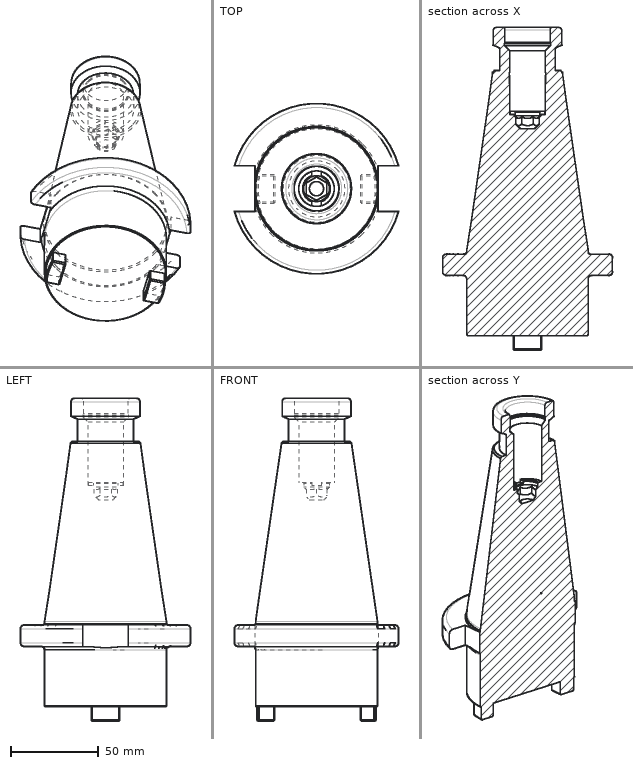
import cadquery as cq
import math

total_height = 184.8
body_bottom_z = 8.1
flange_bottom_z = 42.7
flange_top_z = 55.0
taper_bottom_z = 57.3
taper_top_z = 160.0
head_bottom_z = 172.8

body_radius = 35.0
body_chamfer = 0.5
flange_radius = 48.8
flange_fillet = 2.2
flange_root_fillet = 1.8
flange_top_root_fillet = 0.7
taper_ratio = 7 / 24
taper_top_chamfer = 1.0
neck_radius = 16.0
head_radius = 19.8
head_fillet = 2.0
head_underside_height = 1.7

slot_width = 26.0
slot_floor_x = 35.3

mouth_fillet = 1.5
bore_radius = 12.8
relief_radius = 13.1
relief_top_z = 176.1
relief_chamfer_height = 1.0
relief_bottom_z = 174.3
thread_radius = 10.2
thread_floor_z = 136.8

plug_hole_radius = 7.4
plug_hole_depth = 2.5
plug_rim_chamfer = 0.5
socket_width = 11.6
socket_depth = 7.4
socket_floor_radius = 4.0
driver_slot_width = 5.2
driver_slot_depth = 1.8

key_outer_radius = 34.2
key_width = 16.5
left_key_inner_x = 24.0
right_key_inner_x = 25.1
key_side_chamfer = 0.5
key_bottom_chamfer = 0.7


def outer_body():
    """Body, flange, 7/24 taper, neck and head as one turned profile."""
    taper_length = taper_top_z - taper_top_chamfer - taper_bottom_z
    taper_top_radius = body_radius - taper_length * taper_ratio / 2
    profile = (
        cq.Workplane("XZ")
        .moveTo(0, body_bottom_z)
        .lineTo(body_radius - body_chamfer, body_bottom_z)
        .lineTo(body_radius, body_bottom_z + body_chamfer)
        .lineTo(body_radius, flange_bottom_z - flange_root_fillet)
        .radiusArc((body_radius + flange_root_fillet, flange_bottom_z), flange_root_fillet)
        .lineTo(flange_radius - flange_fillet, flange_bottom_z)
        .radiusArc((flange_radius, flange_bottom_z + flange_fillet), -flange_fillet)
        .lineTo(flange_radius, flange_top_z - flange_fillet)
        .radiusArc((flange_radius - flange_fillet, flange_top_z), -flange_fillet)
        .lineTo(body_radius + flange_top_root_fillet, flange_top_z)
        .radiusArc((body_radius, flange_top_z + flange_top_root_fillet), flange_top_root_fillet)
        .lineTo(body_radius, taper_bottom_z)
        .lineTo(taper_top_radius, taper_top_z - taper_top_chamfer)
        .lineTo(taper_top_radius - taper_top_chamfer, taper_top_z)
        .lineTo(neck_radius, taper_top_z)
        .lineTo(neck_radius, head_bottom_z)
        .lineTo(head_radius, head_bottom_z + head_underside_height)
        .lineTo(head_radius, total_height - head_fillet)
        .radiusArc((head_radius - head_fillet, total_height), -head_fillet)
        .lineTo(0, total_height)
        .close()
    )
    return profile.revolve(360, (0, 0), (0, 1))


def drive_slots():
    """Opposite flat-bottomed notches that also trim the fillets at the flange root."""
    slot_length = flange_radius - slot_floor_x
    slot_bottom_z = flange_bottom_z - flange_root_fillet
    slot_height = flange_top_z + flange_top_root_fillet - slot_bottom_z
    slot = cq.Workplane("XY").box(slot_length, slot_width, slot_height, centered=(False, True, False))
    right_slot = slot.translate((slot_floor_x, 0, slot_bottom_z))
    return right_slot.union(right_slot.rotate((0, 0, 0), (0, 0, 1), 180))


def bore():
    """Rounded mouth, relief groove and a 45 degree cone leading into the threaded hole."""
    thread_top_z = relief_bottom_z - (relief_radius - thread_radius)
    hole = (
        cq.Workplane("XZ")
        .moveTo(0, total_height)
        .lineTo(bore_radius + mouth_fillet, total_height)
        .radiusArc((bore_radius, total_height - mouth_fillet), -mouth_fillet)
        .lineTo(bore_radius, relief_top_z)
        .lineTo(relief_radius, relief_top_z - relief_chamfer_height)
        .lineTo(relief_radius, relief_bottom_z)
        .lineTo(thread_radius, thread_top_z)
        .lineTo(thread_radius, thread_floor_z)
        .lineTo(0, thread_floor_z)
        .close()
    )
    return hole.revolve(360, (0, 0), (0, 1))


def plug_socket():
    """Round mouth over a hexagon socket with flats facing X; both end in 45 degree cones."""
    hex_corner_radius = socket_width / math.sqrt(3)
    cone_floor_z = thread_floor_z - socket_depth - (hex_corner_radius - socket_floor_radius)
    mouth_cone_bottom_z = thread_floor_z - plug_hole_depth - (plug_hole_radius - socket_width / 2)
    mouth = (
        cq.Workplane("XZ")
        .moveTo(0, thread_floor_z)
        .lineTo(plug_hole_radius + plug_rim_chamfer, thread_floor_z)
        .lineTo(plug_hole_radius, thread_floor_z - plug_rim_chamfer)
        .lineTo(plug_hole_radius, thread_floor_z - plug_hole_depth)
        .lineTo(socket_width / 2, mouth_cone_bottom_z)
        .lineTo(0, mouth_cone_bottom_z)
        .close()
        .revolve(360, (0, 0), (0, 1))
    )
    hexagon = (
        cq.Workplane("XY", origin=(0, 0, cone_floor_z))
        .polygon(6, 2 * hex_corner_radius)
        .extrude(thread_floor_z - cone_floor_z)
        .rotate((0, 0, 0), (0, 0, 1), 30)
    )
    coned_column = (
        cq.Workplane("XZ")
        .moveTo(0, thread_floor_z)
        .lineTo(hex_corner_radius, thread_floor_z)
        .lineTo(hex_corner_radius, thread_floor_z - socket_depth)
        .lineTo(socket_floor_radius, cone_floor_z)
        .lineTo(0, cone_floor_z)
        .close()
        .revolve(360, (0, 0), (0, 1))
    )
    return mouth.union(hexagon.intersect(coned_column))


def driver_slot():
    """Shallow slot across the plug screw, ending at the thread wall."""
    floor = cq.Workplane("XY", origin=(0, 0, thread_floor_z - driver_slot_depth))
    bar = floor.rect(driver_slot_width, 2 * thread_radius).extrude(driver_slot_depth)
    disc = floor.circle(thread_radius).extrude(driver_slot_depth)
    return bar.intersect(disc)


def driving_key(inner_x):
    """Key on the +X side with its outer face on the key circle."""
    block = cq.Workplane("XY").box(
        key_outer_radius, key_width, body_bottom_z, centered=(False, True, False)
    )
    rim = cq.Workplane("XY").circle(key_outer_radius).extrude(body_bottom_z)
    key = block.translate((inner_x, 0, 0)).intersect(rim)
    return key.edges("|Z").chamfer(key_side_chamfer).faces("<Z").edges().chamfer(key_bottom_chamfer)


right_key = driving_key(right_key_inner_x)
left_key = driving_key(left_key_inner_x).rotate((0, 0, 0), (0, 0, 1), 180)

turned_body = outer_body().cut(drive_slots()).cut(bore())
with_plug = turned_body.cut(plug_socket()).cut(driver_slot())
result = with_plug.union(right_key).union(left_key)